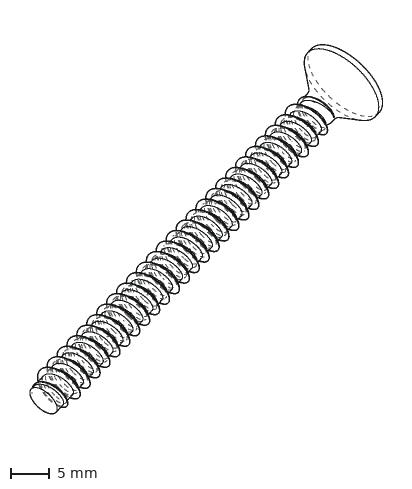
import cadquery as cq
import math

LENGTH = 65.0

HEAD_RADIUS = 12.0 / 2
RIM_HEIGHT = 0.85
NECK_RADIUS = 2.4
NECK_FILLET = 2.2
NECK_END = 5.9
NECK_TAPER = 0.65

CORE_RADIUS = 2.2

CREST_RADIUS = 3.05
THREAD_START = 5.65
THREAD_END = 64.6
THREAD_TURNS = 27.6
PITCH = (THREAD_END - THREAD_START) / THREAD_TURNS
FADE_TURNS = 1.2

CREST_HALF_WIDTH = 0.05
SHOULDER_RADIUS = 2.4
SHOULDER_HALF_WIDTH = 0.25
FOOT_TO_HEAD = 0.85
FOOT_TO_TIP = 0.3
ROOT_RADIUS = CORE_RADIUS - 0.05
START_HEIGHT = 0.3
END_HEIGHT = 0.05
POINTS_PER_TURN = 24


def screw_body():
    """Head, filleted neck and core as one revolved profile."""
    diagonal = math.sqrt(0.5)
    fillet_top_radius = NECK_RADIUS + NECK_FILLET * (1 - diagonal)
    fillet_top = RIM_HEIGHT + HEAD_RADIUS - fillet_top_radius
    fillet_end = fillet_top + NECK_FILLET * diagonal
    half_angle = math.pi / 8
    fillet_mid = (
        NECK_RADIUS + NECK_FILLET * (1 - math.cos(half_angle)),
        -fillet_end + NECK_FILLET * math.sin(half_angle),
    )
    return (
        cq.Workplane("XY")
        .lineTo(HEAD_RADIUS, 0)
        .lineTo(HEAD_RADIUS, -RIM_HEIGHT)
        .lineTo(fillet_top_radius, -fillet_top)
        .threePointArc(fillet_mid, (NECK_RADIUS, -fillet_end))
        .lineTo(NECK_RADIUS, -NECK_END)
        .lineTo(CORE_RADIUS, -NECK_END - NECK_TAPER)
        .lineTo(CORE_RADIUS, -LENGTH)
        .lineTo(0, -LENGTH)
        .close()
        .revolve(360, (0, 0, 0), (0, 1, 0))
    )


def height_at(turn):
    """Fraction of the full ridge height, so that the thread fades out at both ends."""
    start_height = START_HEIGHT + (1 - START_HEIGHT) * turn / FADE_TURNS
    end_height = END_HEIGHT + (1 - END_HEIGHT) * (THREAD_TURNS - turn) / FADE_TURNS
    return min(start_height, end_height, 1)


def helix_point(turn, radius, offset):
    """Point of a ridge corner after a number of turns; offset runs along the axis."""
    angle = 2 * math.pi * turn
    reach = ROOT_RADIUS + (radius - ROOT_RADIUS) * height_at(turn)
    depth = THREAD_START + PITCH * turn + offset
    return cq.Vector(reach * math.cos(angle), -depth, reach * math.sin(angle))


def thread_ridge():
    """Solid helical ridge built from ruled faces stretch by stretch."""
    corners = [
        (ROOT_RADIUS, -FOOT_TO_HEAD),
        (SHOULDER_RADIUS, -SHOULDER_HALF_WIDTH),
        (CREST_RADIUS, -CREST_HALF_WIDTH),
        (CREST_RADIUS, CREST_HALF_WIDTH),
        (SHOULDER_RADIUS, SHOULDER_HALF_WIDTH),
        (ROOT_RADIUS, FOOT_TO_TIP),
    ]
    breaks = [0, FADE_TURNS, THREAD_TURNS - FADE_TURNS, THREAD_TURNS]
    faces = []
    for first, last in zip(breaks, breaks[1:]):
        steps = math.ceil((last - first) * POINTS_PER_TURN)
        turns = [first + (last - first) * step / steps for step in range(steps + 1)]
        edges = [
            cq.Edge.makeSpline([helix_point(turn, *corner) for turn in turns])
            for corner in corners
        ]
        for edge, next_edge in zip(edges, edges[1:] + edges[:1]):
            faces.append(cq.Face.makeRuledSurface(edge, next_edge))
    for turn in (0, THREAD_TURNS):
        outline = cq.Wire.makePolygon([helix_point(turn, *corner) for corner in corners], close=True)
        faces.append(cq.Face.makeFromWires(outline))
    return cq.Solid.makeSolid(cq.Shell.makeShell(faces))


def trimmed_ridge():
    """Thread ridge cut off flush with the tip face."""
    beyond_tip = (
        cq.Workplane("XZ", origin=(0, -LENGTH, 0))
        .circle(2 * CREST_RADIUS)
        .extrude(PITCH)
    )
    return cq.Workplane(thread_ridge()).cut(beyond_tip)


result = screw_body().union(trimmed_ridge())